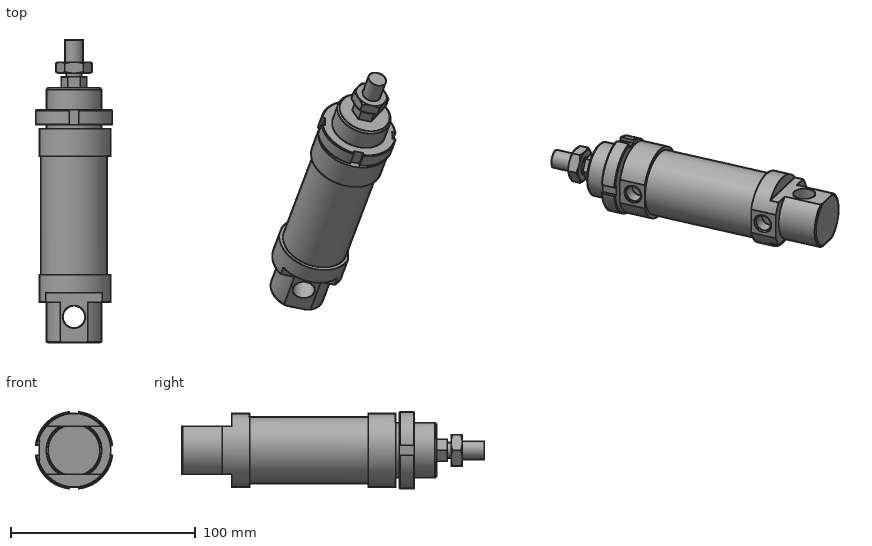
import cadquery as cq
import math

overall_length = 164.0

eye_hole_y = 14.0
rear_cap_back_y = 22.0
eye_flat_end_y = 27.0
front_cap_back_y = 101.0
cap_length = 15.0
rear_cap_front_y = rear_cap_back_y + cap_length
front_cap_front_y = front_cap_back_y + cap_length
neck_front_y = 138.1
lock_nut_y = 146.0

spigot_radius = 30.0 / 2
cap_radius = 40.0 / 2
tube_radius = 36.0 / 2
neck_chamfer = 1.0
eye_chamfer_length = 0.5
eye_chamfer_depth = 1.0
eye_thickness = 26.0
eye_hole_diameter = 12.0

port_flat_x = -18.7
port_inset = 7.0
port_diameter = 8.9
port_mouth_diameter = 10.3
port_mouth_depth = (port_mouth_diameter - port_diameter) / 2
port_depth = 8.0

mounting_nut_y = 117.9
mounting_nut_width = 8.2
mounting_nut_radius = 21.0
mounting_nut_chamfer = 0.5
slot_width = 5.2
slot_floor_radius = 18.9
slot_count = 4

thread_diameter = 10.0
undercut_diameter = 8.5
wrench_hex_flats = 12.1
wrench_hex_length = 5.9

lock_nut_flats = 17.0
lock_nut_width = 6.0
lock_nut_chamfer_angle = 30.0


def y_plane(y):
    """Workplane across the cylinder axis at y, with its normal along +Y and local x along -X."""
    return cq.Workplane(cq.Plane(origin=(0, y, 0), xDir=(-1, 0, 0), normal=(0, 1, 0)))


def turned(profile):
    """Solid of revolution about Y from (radius, y) points, drawn on the -X side."""
    points = [(-radius, y) for radius, y in profile]
    return cq.Workplane("XY").polyline(points).close().revolve(360, (0, 0), (0, 1))


def hexagon_corner_radius(flats):
    """Distance from the centre to a corner of a hexagon of the given width across flats."""
    return flats / 2 / math.cos(math.pi / 6)


def hexagon(y, flats, length):
    """Hexagonal prism along Y with two corners on the X axis."""
    return y_plane(y).polygon(6, 2 * hexagon_corner_radius(flats)).extrude(length)


def port_cutter(y):
    """Blind port entering along +X from the flat, with a countersunk mouth."""
    mouth = cq.Plane(origin=(port_flat_x, y, 0), xDir=(0, 1, 0), normal=(1, 0, 0))
    bore = cq.Workplane(mouth).circle(port_diameter / 2).extrude(port_depth)
    countersink = (
        cq.Workplane(mouth)
        .circle(port_mouth_diameter / 2)
        .workplane(offset=port_mouth_depth)
        .circle(port_diameter / 2)
        .loft()
    )
    return bore.union(countersink)


def make_housing():
    body = turned([
        (0, 0),
        (spigot_radius - eye_chamfer_depth, 0),
        (spigot_radius, eye_chamfer_length),
        (spigot_radius, rear_cap_back_y),
        (cap_radius, rear_cap_back_y),
        (cap_radius, rear_cap_front_y),
        (tube_radius, rear_cap_front_y),
        (tube_radius, front_cap_back_y),
        (cap_radius, front_cap_back_y),
        (cap_radius, front_cap_front_y),
        (spigot_radius, front_cap_front_y),
        (spigot_radius, neck_front_y - neck_chamfer),
        (spigot_radius - neck_chamfer, neck_front_y),
        (0, neck_front_y),
    ])

    cutter_size = 2 * cap_radius
    for side in (1, -1):
        flat_cutter = cq.Workplane("XY").box(cutter_size, eye_flat_end_y, cutter_size).translate(
            (0, eye_flat_end_y / 2, side * (eye_thickness + cutter_size) / 2)
        )
        body = body.cut(flat_cutter)

    eye_hole = (
        cq.Workplane("XY")
        .center(0, eye_hole_y)
        .circle(eye_hole_diameter / 2)
        .extrude(eye_thickness, both=True)
    )
    body = body.cut(eye_hole)

    ports = (
        (rear_cap_back_y, rear_cap_front_y - port_inset),
        (front_cap_back_y, front_cap_back_y + port_inset),
    )
    for cap_back_y, port_y in ports:
        flat_cutter = cq.Workplane("XY").box(cap_radius, cap_length, cutter_size).translate(
            (port_flat_x - cap_radius / 2, cap_back_y + cap_length / 2, 0)
        )
        body = body.cut(flat_cutter).cut(port_cutter(port_y))
    return body


def make_mounting_nut():
    back_y = mounting_nut_y
    front_y = mounting_nut_y + mounting_nut_width
    nut = turned([
        (spigot_radius, back_y),
        (mounting_nut_radius - mounting_nut_chamfer, back_y),
        (mounting_nut_radius, back_y + mounting_nut_chamfer),
        (mounting_nut_radius, front_y - mounting_nut_chamfer),
        (mounting_nut_radius - mounting_nut_chamfer, front_y),
        (spigot_radius, front_y),
    ])
    slot = (
        cq.Workplane("XY", origin=(0, back_y + mounting_nut_width / 2, slot_floor_radius))
        .rect(slot_width, mounting_nut_width)
        .extrude(mounting_nut_radius - slot_floor_radius)
    )
    for index in range(slot_count):
        nut = nut.cut(slot.rotate((0, 0, 0), (0, 1, 0), index * 360 / slot_count))
    return nut


def make_rod():
    wrench_hex_front_y = neck_front_y + wrench_hex_length
    wrench_hex = hexagon(neck_front_y, wrench_hex_flats, wrench_hex_length)
    undercut_length = lock_nut_y - wrench_hex_front_y
    undercut = y_plane(wrench_hex_front_y).circle(undercut_diameter / 2).extrude(undercut_length)
    thread = y_plane(lock_nut_y).circle(thread_diameter / 2).extrude(overall_length - lock_nut_y)
    return wrench_hex.union(undercut).union(thread)


def make_lock_nut():
    back_y = lock_nut_y
    front_y = lock_nut_y + lock_nut_width
    face_radius = lock_nut_flats / 2
    corner_radius = hexagon_corner_radius(lock_nut_flats)
    chamfer_length = (corner_radius - face_radius) * math.tan(math.radians(lock_nut_chamfer_angle))
    trimming_cone = turned([
        (thread_diameter / 2, back_y),
        (face_radius, back_y),
        (corner_radius, back_y + chamfer_length),
        (corner_radius, front_y - chamfer_length),
        (face_radius, front_y),
        (thread_diameter / 2, front_y),
    ])
    return hexagon(lock_nut_y, lock_nut_flats, lock_nut_width).intersect(trimming_cone)


housing = make_housing()
mounting_nut = make_mounting_nut()
rod = make_rod()
lock_nut = make_lock_nut()

result = cq.Compound.makeCompound([
    housing.val(),
    mounting_nut.val(),
    rod.val(),
    lock_nut.val(),
])